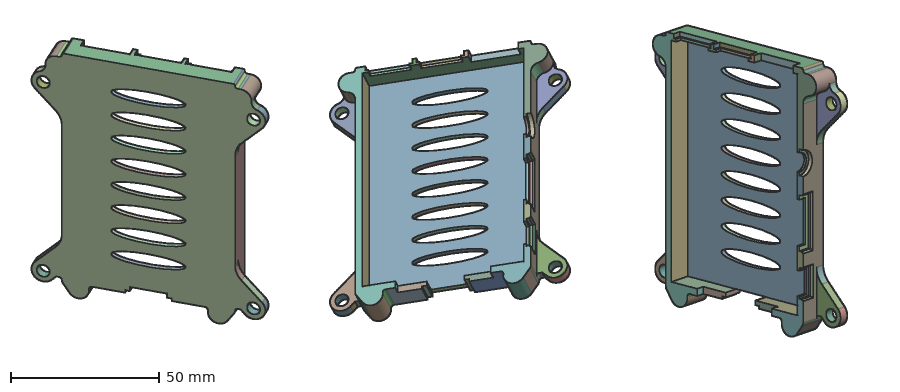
import cadquery as cq
import math


height = 96.25
depth = 10.3
width = 83.45
body_half_width = 30.9
body_bottom = 5.6
wall = 2.6
floor = 1.9

lug_thickness = 3.5
lug_radius = 4.2
lug_hole_radius = 2.3
lug_x = width / 2 - lug_radius
lower_lug_z = 8.5
lug_spacing_z = 75.0
upper_lug_z = lower_lug_z + lug_spacing_z
lug_root_radius = 7.7
lug_ear_blend = 2.9

boss_radius = 3.85
ear_x = 32.9
ear_top = 94.6
ear_z = ear_top - boss_radius
ear_bottom_z = 83.7
foot_x = 25.0
foot_z = boss_radius
foot_corner_radius = 1.9
foot_blend = 1.2
blend = 1.0
top_corner_radius = height - ear_top - blend

groove_top = 7.1
groove_corner_x = body_half_width + blend
groove_corner_z = groove_top - blend

slot_count = 8
slot_half_length = 13.2
slot_half_height = 2.5
lowest_slot_z = 20.0
highest_slot_z = 84.4
slot_pitch = (highest_slot_z - lowest_slot_z) / (slot_count - 1)

recess_depth = 1.6
recess_chamfer_depth = 0.7

plain_opening = (-26.4, -8.95)
plain_cut = 3.5
recessed_openings = ((-7.3, 9.3), (10.8, 27.3))
top_recess_cut = 3.2
top_through_cut = 2.5
top_lip = 1.1

side_openings = (
    ((30.6, 51.6, 4.8), (31.2, 50.9, 4.5), (32.8, 49.4, 2.9)),
    ((13.8, 25.7, 5.2), (14.2, 25.1, 4.5), (15.0, 24.2, 3.6)),
)

bottom_gap_half_width = 16.7
bottom_gap_depth = 3.1
card_recess_half_width = 8.3
card_recess_depth = 1.0
card_notch_half_width = 6.6

jack_z = 62.6
jack_recess_radius = 4.6
jack_radius = 3.5

inner_x = body_half_width - wall
body_top_inner = height - wall
body_bottom_inner = body_bottom + wall


def polar(center, radius, degrees):
    """Point on a circle in the XZ plane."""
    angle = math.radians(degrees)
    return center[0] + radius * math.cos(angle), center[1] + radius * math.sin(angle)


def toward(start, end, distance):
    """Point at a distance from start on the way to end."""
    ratio = distance / math.dist(start, end)
    return start[0] + ratio * (end[0] - start[0]), start[1] + ratio * (end[1] - start[1])


def outside_blend_center(first, first_radius, second, second_radius, radius):
    """Centre of a blend touching two circles from outside, to the left of first -> second."""
    span = math.dist(first, second)
    reach_first = first_radius + radius
    reach_second = second_radius + radius
    along = (reach_first**2 - reach_second**2 + span**2) / (2 * span)
    aside = math.sqrt(reach_first**2 - along**2)
    ux = (second[0] - first[0]) / span
    uz = (second[1] - first[1]) / span
    return first[0] + along * ux - aside * uz, first[1] + along * uz + aside * ux


def plate(sketch, thickness):
    """Extrude an XZ outline from y = 0 toward +Y."""
    return sketch.extrude(-thickness)


def block(x0, x1, y0, y1, z0, z1):
    """Box between two corner positions."""
    return cq.Workplane("XY").box(x1 - x0, y1 - y0, z1 - z0, centered=False).translate((x0, y0, z0))


def both_sides(half):
    """The +X half joined with its mirror image."""
    return half.union(half.mirror("YZ"))


def outline(x, z):
    """Start an outline in the XZ plane."""
    return cq.Workplane("XZ").moveTo(x, z)


def ear():
    center = (ear_x, ear_z)
    shoulder = (body_half_width - top_corner_radius, height - top_corner_radius)
    inside_corner = (body_half_width + blend, ear_top + blend)
    rise = ear_z - ear_bottom_z
    offset = ear_x - body_half_width
    root = (offset**2 + rise**2 - boss_radius**2) / (2 * (offset + boss_radius))
    root_center = (body_half_width + root, ear_bottom_z)
    touch = toward(center, root_center, boss_radius)
    touch_angle = math.degrees(math.atan2(touch[1] - root_center[1], touch[0] - root_center[0]))
    shape = (
        outline(inner_x, height)
        .lineTo(shoulder[0], height)
        .threePointArc(polar(shoulder, top_corner_radius, 45), (body_half_width, shoulder[1]))
        .threePointArc(polar(inside_corner, blend, 225), (inside_corner[0], ear_top))
        .lineTo(ear_x, ear_top)
        .threePointArc(polar(center, boss_radius, 0), touch)
        .threePointArc(
            polar(root_center, root, (touch_angle + 180) / 2), (body_half_width, ear_bottom_z)
        )
        .lineTo(inner_x, ear_bottom_z)
        .close()
    )
    return plate(shape, depth)


def foot():
    center = (foot_x, foot_z)
    corner = (body_half_width - foot_corner_radius, groove_corner_z)
    direction = math.atan2(corner[1] - foot_z, corner[0] - foot_x)
    lean = math.acos((boss_radius - foot_corner_radius) / math.dist(center, corner))
    normal = math.degrees(direction - lean)
    drop = body_bottom - foot_blend - foot_z
    blend_x = foot_x - math.sqrt((boss_radius + foot_blend) ** 2 - drop**2)
    blend_center = (blend_x, body_bottom - foot_blend)
    touch = toward(center, blend_center, boss_radius)
    touch_angle = math.degrees(math.atan2(-drop, foot_x - blend_x))
    shape = (
        outline(blend_x, body_bottom_inner)
        .lineTo(body_half_width, body_bottom_inner)
        .lineTo(body_half_width, corner[1])
        .threePointArc(
            polar(corner, foot_corner_radius, normal / 2), polar(corner, foot_corner_radius, normal)
        )
        .lineTo(*polar(center, boss_radius, normal))
        .threePointArc(polar(center, boss_radius, -90), touch)
        .threePointArc(
            polar(blend_center, foot_blend, (touch_angle + 90) / 2), (blend_x, body_bottom)
        )
        .close()
    )
    return plate(shape, depth)


def lug_root(lug_z, side):
    """Blend end, blend middle, blend start and lug tangent of a 45 degree lug edge.

    side is +1 when the sloped edge lies above the lug and -1 when it lies below.
    """
    tangent = polar((lug_x, lug_z), lug_radius, 45 * side)
    corner_z = tangent[1] + side * (tangent[0] - body_half_width)
    center_z = corner_z + side * lug_root_radius * math.tan(math.radians(22.5))
    center = (body_half_width + lug_root_radius, center_z)
    middle = polar(center, lug_root_radius, 180 + 22.5 * side)
    start = polar(center, lug_root_radius, 180 + 45 * side)
    return (body_half_width, center_z), middle, start, tangent


def upper_lug():
    center = (lug_x, upper_lug_z)
    ear_center = (ear_x, ear_z)
    end, middle, start, tangent = lug_root(upper_lug_z, -1)
    blend_center = outside_blend_center(
        ear_center, boss_radius, center, lug_radius, lug_ear_blend
    )
    lug_touch = toward(center, blend_center, lug_radius)
    ear_touch = toward(ear_center, blend_center, boss_radius)
    chord_middle = ((lug_touch[0] + ear_touch[0]) / 2, (lug_touch[1] + ear_touch[1]) / 2)
    shape = (
        outline(inner_x, end[1])
        .lineTo(*end)
        .threePointArc(middle, start)
        .lineTo(*tangent)
        .threePointArc(polar(center, lug_radius, 0), lug_touch)
        .threePointArc(toward(blend_center, chord_middle, lug_ear_blend), ear_touch)
        .lineTo(*ear_center)
        .lineTo(inner_x, ear_z)
        .close()
    )
    return plate(shape, lug_thickness)


def lower_lug():
    center = (lug_x, lower_lug_z)
    end, middle, start, tangent = lug_root(lower_lug_z, 1)
    under = polar(center, lug_radius, -135)
    groove_x = under[0] - (groove_top - under[1])
    groove_corner = (groove_corner_x, groove_corner_z)
    shape = (
        outline(inner_x, end[1])
        .lineTo(*end)
        .threePointArc(middle, start)
        .lineTo(*tangent)
        .threePointArc(polar(center, lug_radius, -45), under)
        .lineTo(groove_x, groove_top)
        .lineTo(groove_corner_x, groove_top)
        .threePointArc(polar(groove_corner, blend, 135), (body_half_width, groove_corner_z))
        .lineTo(inner_x, groove_corner_z)
        .close()
    )
    return plate(shape, lug_thickness)


def vent_slots():
    centers = [(0, lowest_slot_z + i * slot_pitch) for i in range(slot_count)]
    slots = cq.Workplane("XZ").pushPoints(centers).ellipse(slot_half_length, slot_half_height)
    return plate(slots, floor)


def lug_holes():
    centers = [(sx * lug_x, z) for sx in (-1, 1) for z in (lower_lug_z, upper_lug_z)]
    return plate(cq.Workplane("XZ").pushPoints(centers).circle(lug_hole_radius), lug_thickness)


def top_opening(x0, x1, cut_depth, z_depth):
    return block(x0, x1, depth - cut_depth, depth, height - z_depth, height)


def side_opening(z0, z1, cut_depth, x0, x1):
    return block(x0, x1, depth - cut_depth, depth, z0, z1)


def side_chamfer(rim, recess):
    """Taper from the rim on the outer -X face to the recess; both are (z0, z1, cut depth)."""
    def section(x, z0, z1, cut_depth):
        corners = [(depth - cut_depth, z0), (depth, z0), (depth, z1), (depth - cut_depth, z1)]
        return cq.Wire.makePolygon([cq.Vector(x, y, z) for y, z in corners], close=True)

    outer = section(-body_half_width, *rim)
    inner = section(-body_half_width + recess_chamfer_depth, *recess)
    return cq.Workplane(obj=cq.Solid.makeLoft([outer, inner], True))


def side_cylinder(radius, length):
    disc = cq.Workplane("YZ").center(depth, jack_z).circle(radius).extrude(length)
    return disc.translate((-body_half_width, 0, 0))


side_half = ear().union(foot()).union(upper_lug()).union(lower_lug())
core = block(-inner_x, inner_x, 0, depth, body_bottom, height)
sides = block(-body_half_width, body_half_width, 0, depth, groove_corner_z, ear_top)
body = core.union(sides).union(both_sides(side_half))
cavity = block(-inner_x, inner_x, floor, depth, body_bottom_inner, body_top_inner)
body = body.cut(cavity).cut(vent_slots()).cut(lug_holes())

body = body.cut(top_opening(*plain_opening, plain_cut, wall))
for x0, x1 in recessed_openings:
    body = body.cut(top_opening(x0, x1, top_recess_cut, recess_depth))
    body = body.cut(top_opening(x0 + top_lip, x1 - top_lip, top_through_cut, wall))

for rim, recess, through in side_openings:
    body = body.cut(side_chamfer(rim, recess))
    body = body.cut(side_opening(*recess, -body_half_width, -body_half_width + recess_depth))
    body = body.cut(side_opening(*through, -body_half_width, -inner_x))

body = body.cut(side_cylinder(jack_recess_radius, recess_depth))
body = body.cut(side_cylinder(jack_radius, wall))

body = body.cut(
    block(
        -bottom_gap_half_width, bottom_gap_half_width,
        depth - bottom_gap_depth, depth,
        body_bottom, body_bottom_inner,
    )
)
card_steps = ((card_recess_half_width, card_recess_depth), (card_notch_half_width, wall))
for half_width, z_depth in card_steps:
    body = body.cut(block(-half_width, half_width, 0, depth, body_bottom, body_bottom + z_depth))

result = body